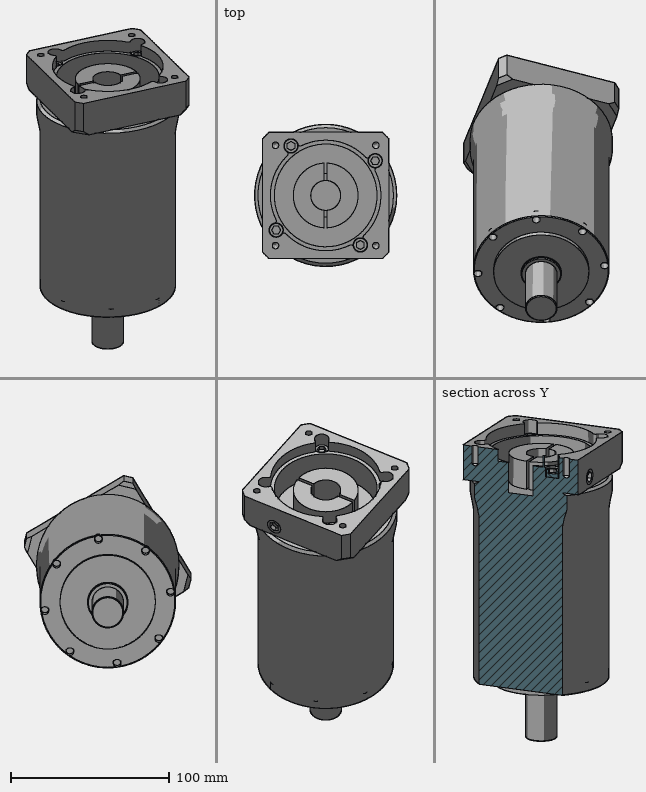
import cadquery as cq
import math

TOTAL_HEIGHT = 197.0

SHAFT_DIAMETER = 20.0
SHAFT_CHAMFER = 0.5
COLLAR_DIAMETER = 25.6
COLLAR_BOTTOM = 35.3
COLLAR_CHAMFER = 0.5
PILOT_DIAMETER = 60.3
PILOT_BOTTOM = 36.8
BODY_DIAMETER = 85.9
BODY_BOTTOM = 39.8
BODY_CHAMFER = 0.5

FLARE_DIAMETER = 90.0
FLARE_BOTTOM = 151.7
FLARE_TOP = 163.1
FLARE_RIM_CHAMFER_WIDTH = 2.2
FLARE_RIM_CHAMFER_HEIGHT = 1.4

FLANGE_WIDTH = 80.0
FLANGE_HEIGHT = 23.2
FLANGE_CORNER_CHAMFER = 4.1
FLANGE_UNDERCUT_HEIGHT = 3.2
FLANGE_UNDERCUT_DEPTH = 2.8

RECESS_DIAMETER = 70.0
RECESS_DEPTH = 7.7
CHAMBER_DIAMETER = 65.0
CHAMBER_DEPTH = 27.5
HUB_DIAMETER = 41.0
HUB_DROP = 9.0
HUB_BORE_DIAMETER = 19.0
SLOT_WIDTH = 2.0
SLOT_INNER_DIAMETER = 27.5
SLOT_STEP = 4.0

MOUNT_SPACING = 63.5
MOUNT_DIAMETER = 4.1
MOUNT_DEPTH = 11.8
DRILL_POINT_ANGLE = 118.0

SCREW_CIRCLE_RADIUS = 38.2
SCREW_START_ANGLE = 35.0
SCREW_COUNT = 4
SCREW_BORE_DIAMETER = 9.0
SCREW_BORE_RIM_RADIUS = 1.4
SCREW_HEAD_DIAMETER = 8.5
SCREW_HEAD_DROP = 8.9
SCREW_HEAD_HEIGHT = 5.0
SCREW_HEX_WIDTH = 5.0
SCREW_HEX_DEPTH = 2.4

PLUG_DIAMETER = 9.8
PLUG_LENGTH = 6.0
PLUG_Y = 14.0
PLUG_DROP = 16.0
PLUG_HEX_WIDTH = 6.0
PLUG_HEX_DEPTH = 3.0

OUTPUT_HOLE_COUNT = 8
OUTPUT_HOLE_DIAMETER = 5.0
OUTPUT_HOLE_CIRCLE_RADIUS = 40.2
OUTPUT_HOLE_DEPTH = 6.0

FLANGE_BOTTOM = TOTAL_HEIGHT - FLANGE_HEIGHT
CHAMBER_FLOOR = TOTAL_HEIGHT - CHAMBER_DEPTH
HUB_HEIGHT = CHAMBER_DEPTH - HUB_DROP
SCREW_SEAT_DEPTH = SCREW_HEAD_DROP + SCREW_HEAD_HEIGHT


def hex_corner_diameter(width_across_flats):
    return width_across_flats / math.cos(math.pi / 6)


def cylinder_down(diameter, top, depth):
    return cq.Workplane("XY", origin=(0, 0, top)).circle(diameter / 2).extrude(-depth)


def screw_axes(top):
    return cq.Workplane("XY", origin=(0, 0, top)).polarArray(
        SCREW_CIRCLE_RADIUS, SCREW_START_ANGLE, 360, SCREW_COUNT
    )


def make_turned_body():
    """Shaft, collar, pilot, housing and flared end, turned as one."""
    shaft = SHAFT_DIAMETER / 2
    collar = COLLAR_DIAMETER / 2
    pilot = PILOT_DIAMETER / 2
    body = BODY_DIAMETER / 2
    flare = FLARE_DIAMETER / 2
    profile = [
        (0, 0),
        (shaft - SHAFT_CHAMFER, 0),
        (shaft, SHAFT_CHAMFER),
        (shaft, COLLAR_BOTTOM),
        (collar - COLLAR_CHAMFER, COLLAR_BOTTOM),
        (collar, COLLAR_BOTTOM + COLLAR_CHAMFER),
        (collar, PILOT_BOTTOM),
        (pilot, PILOT_BOTTOM),
        (pilot, BODY_BOTTOM),
        (body - BODY_CHAMFER, BODY_BOTTOM),
        (body, BODY_BOTTOM + BODY_CHAMFER),
        (body, FLARE_BOTTOM),
        (flare, FLARE_TOP),
        (flare, FLANGE_BOTTOM - FLARE_RIM_CHAMFER_HEIGHT),
        (flare - FLARE_RIM_CHAMFER_WIDTH, FLANGE_BOTTOM),
        (0, FLANGE_BOTTOM),
    ]
    return cq.Workplane("XZ").polyline(profile).close().revolve(360, (0, 0), (0, 1))


def make_flange():
    """Square block with chamfered corners that are undercut at the bottom."""
    block = (
        cq.Workplane("XY", origin=(0, 0, FLANGE_BOTTOM))
        .rect(FLANGE_WIDTH, FLANGE_WIDTH)
        .extrude(FLANGE_HEIGHT)
        .edges("|Z")
        .chamfer(FLANGE_CORNER_CHAMFER)
    )
    corner_reach = (FLANGE_WIDTH - FLANGE_CORNER_CHAMFER) / math.sqrt(2)
    undercut = (
        cq.Workplane("XZ")
        .moveTo(corner_reach - FLANGE_UNDERCUT_DEPTH, FLANGE_BOTTOM)
        .lineTo(corner_reach, FLANGE_BOTTOM + FLANGE_UNDERCUT_HEIGHT)
        .lineTo(corner_reach, FLANGE_BOTTOM)
        .close()
        .extrude(FLANGE_WIDTH / 2, both=True)
    )
    for corner in range(4):
        block = block.cut(undercut.rotate((0, 0, 0), (0, 0, 1), 45 + 90 * corner))
    return block


def make_motor_recess():
    """Recess joined to the four screw bores, with the ridges between them rounded."""
    outline = (
        cq.Sketch()
        .circle(RECESS_DIAMETER / 2)
        .parray(SCREW_CIRCLE_RADIUS, SCREW_START_ANGLE, 360, SCREW_COUNT)
        .circle(SCREW_BORE_DIAMETER / 2)
        .reset()
        .clean()
        .vertices()
        .fillet(SCREW_BORE_RIM_RADIUS)
    )
    recess = cq.Workplane("XY", origin=(0, 0, TOTAL_HEIGHT)).placeSketch(outline).extrude(-RECESS_DEPTH)
    seats = screw_axes(TOTAL_HEIGHT).circle(SCREW_BORE_DIAMETER / 2).extrude(-SCREW_SEAT_DEPTH)
    return recess.union(seats)


def make_hub():
    """Clamping hub, bored and split across by a slot that is shallower near the bore."""
    hub_top = TOTAL_HEIGHT - HUB_DROP
    hub = cylinder_down(HUB_DIAMETER, hub_top, HUB_HEIGHT)
    slot = (
        cq.Workplane("XY", origin=(0, 0, hub_top))
        .rect(SLOT_WIDTH, HUB_DIAMETER)
        .extrude(-HUB_HEIGHT)
    )
    slot_step = cylinder_down(SLOT_INNER_DIAMETER, CHAMBER_FLOOR + SLOT_STEP, SLOT_STEP)
    bore = cylinder_down(HUB_BORE_DIAMETER, hub_top, HUB_HEIGHT)
    return hub.cut(slot.cut(slot_step)).cut(bore)


def make_mount_holes():
    radius = MOUNT_DIAMETER / 2
    point_depth = radius / math.tan(math.radians(DRILL_POINT_ANGLE / 2))
    drill = (
        cq.Workplane("XZ")
        .polyline([(0, 0), (radius, 0), (radius, -MOUNT_DEPTH), (0, -MOUNT_DEPTH - point_depth)])
        .close()
        .revolve(360, (0, 0), (0, 1))
        .val()
    )
    return (
        cq.Workplane("XY", origin=(0, 0, TOTAL_HEIGHT))
        .rect(MOUNT_SPACING, MOUNT_SPACING, forConstruction=True)
        .vertices()
        .eachpoint(drill, combine=True)
    )


def make_output_holes():
    return (
        cq.Workplane("XY", origin=(0, 0, BODY_BOTTOM))
        .polarArray(OUTPUT_HOLE_CIRCLE_RADIUS, 180 / OUTPUT_HOLE_COUNT, 360, OUTPUT_HOLE_COUNT)
        .circle(OUTPUT_HOLE_DIAMETER / 2)
        .extrude(OUTPUT_HOLE_DEPTH)
    )


def plug_face():
    """Workplane on the -X side of the flange, at the plug axis, facing into the flange."""
    plane = cq.Plane(
        origin=(-FLANGE_WIDTH / 2, PLUG_Y, TOTAL_HEIGHT - PLUG_DROP), xDir=(0, 0, 1), normal=(1, 0, 0)
    )
    return cq.Workplane(plane)


def make_plug_seat():
    return plug_face().circle(PLUG_DIAMETER / 2).extrude(PLUG_LENGTH)


def make_plug():
    socket = plug_face().polygon(6, hex_corner_diameter(PLUG_HEX_WIDTH)).extrude(PLUG_HEX_DEPTH)
    return make_plug_seat().cut(socket)


def make_gearbox():
    chamber = cylinder_down(CHAMBER_DIAMETER, TOTAL_HEIGHT, CHAMBER_DEPTH)
    return (
        make_turned_body()
        .union(make_flange())
        .cut(make_motor_recess())
        .cut(chamber)
        .union(make_hub())
        .cut(make_mount_holes())
        .cut(make_output_holes())
        .cut(make_plug_seat())
    )


def make_screw(angle):
    """Socket head seated at the bottom of its bore, at the given angle around the axis."""
    head_top = TOTAL_HEIGHT - SCREW_HEAD_DROP
    head = cylinder_down(SCREW_HEAD_DIAMETER, head_top, SCREW_HEAD_HEIGHT)
    socket = (
        cq.Workplane("XY", origin=(0, 0, head_top))
        .polygon(6, hex_corner_diameter(SCREW_HEX_WIDTH))
        .extrude(-SCREW_HEX_DEPTH)
        .rotate((0, 0, 0), (0, 0, 1), -SCREW_START_ANGLE)
    )
    screw = head.cut(socket).translate((SCREW_CIRCLE_RADIUS, 0, 0))
    return screw.rotate((0, 0, 0), (0, 0, 1), angle)


gearbox = make_gearbox()
plug = make_plug()
screws = [make_screw(SCREW_START_ANGLE + i * 360 / SCREW_COUNT) for i in range(SCREW_COUNT)]

result = cq.Compound.makeCompound([gearbox.val(), plug.val(), *[screw.val() for screw in screws]])